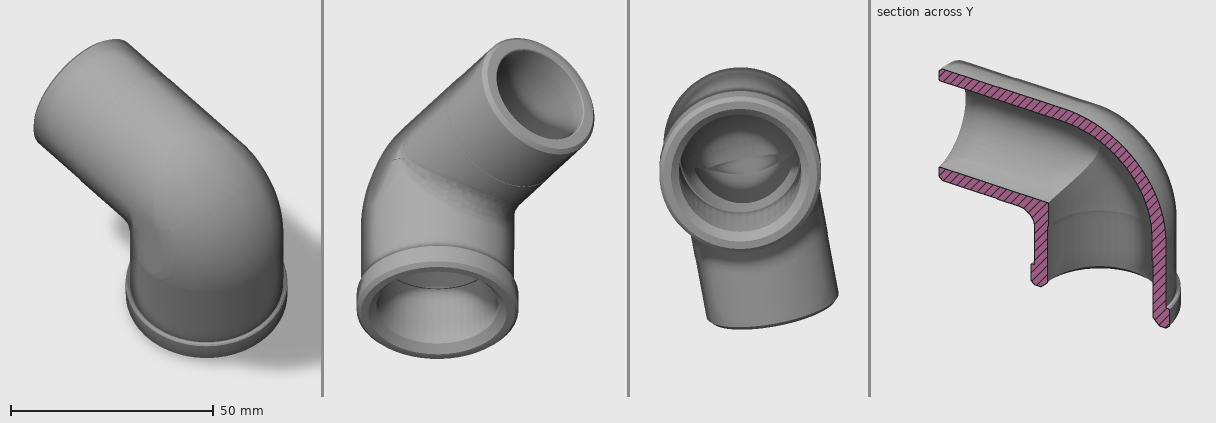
import cadquery as cq
import math

overall_length = 66.5
overall_height = 55.2
collar_diameter = 40.0
riser_x = overall_length - collar_diameter / 2

spigot_diameter = 33.25
spigot_length = 16.8
spigot_chamfer = 1.0
inlet_diameter = 33.45
inlet_radius = inlet_diameter / 2
inlet_z = overall_height - inlet_radius

riser_diameter = 38.0
collar_height = 6.1
collar_chamfer = 1.0
collar_top_chamfer = 0.3

bend_z = 25.8

cheek_angle = math.radians(9.2)
cheek_top_y = inlet_radius * math.cos(cheek_angle)
cheek_top_z = inlet_z + inlet_radius * math.sin(cheek_angle)
cheek_foot_y = cheek_top_y + cheek_top_z * math.tan(cheek_angle)

throat_fillet = 4.4
cheek_fillet = 8.0

inlet_bore = 25.5
bore_chamfer = 0.25
cavity_diameter = 29.65
socket_diameter = 30.3
socket_depth = 18.6
mouth_diameter = 34.2
mouth_depth = (mouth_diameter - socket_diameter) / 2

zone_left = 36.6
zone_left_top = 34.85
zone_tip_x = 43.2
zone_tip_z = 37.25
zone_crest_x = 38.6
zone_crest_z = 52.55

tool_size = 2 * overall_length
edge_margin = 0.65


def along_x(diameter, start, end):
    """Cylinder on the inlet axis."""
    base = cq.Plane(origin=(start, 0, inlet_z), xDir=(0, 0, 1), normal=(1, 0, 0))
    return cq.Workplane(base).circle(diameter / 2).extrude(end - start)


def along_z(diameter, start, end):
    """Cylinder on the riser axis."""
    return cq.Workplane("XY", origin=(riser_x, 0, start)).circle(diameter / 2).extrude(end - start)


def cone(base, start_diameter, end_diameter, length):
    """Cone frustum standing on a base plane."""
    sketch = cq.Workplane(base).circle(start_diameter / 2)
    return sketch.workplane(offset=length).circle(end_diameter / 2).loft(ruled=True)


def behind_bend(diameter, crown_z):
    """Space behind a bend that turns a riser of the given diameter up to its crown."""
    radius = diameter / 2
    bend_radius = crown_z - bend_z - radius
    bend_x = riser_x - bend_radius
    turn = (
        cq.Workplane("YZ", origin=(bend_x, 0, bend_z))
        .moveTo(-radius, 0)
        .lineTo(radius, 0)
        .lineTo(radius, bend_radius)
        .threePointArc((0, bend_radius + radius), (-radius, bend_radius))
        .close()
        .revolve(90, (0, 0), (1, 0))
    )
    block = cq.Workplane("XY").box(tool_size, tool_size, tool_size, centered=(False, True, False))
    return block.translate((bend_x, 0, bend_z)).cut(turn)


def between_cheeks():
    """Wedge between the two cheeks, up to where they touch the inlet."""
    outline = [
        (-cheek_foot_y, 0),
        (cheek_foot_y, 0),
        (cheek_top_y, cheek_top_z),
        (-cheek_top_y, cheek_top_z),
    ]
    return cq.Workplane("YZ").polyline(outline).close().extrude(overall_length)


def rounding_zone():
    """Part of the elbow whose cheek edges are rounded."""
    outline = [
        (zone_left, 0),
        (overall_length, 0),
        (overall_length, zone_crest_z),
        (zone_crest_x, zone_crest_z),
        (zone_tip_x, zone_tip_z),
        (zone_left, zone_left_top),
    ]
    return cq.Workplane("XZ").polyline(outline).close().extrude(tool_size / 2, both=True)


def riser_with_throat():
    """Riser blended into the inlet along the closed curve where they meet."""
    riser = along_z(riser_diameter, 0, overall_height + inlet_radius)
    inlet = along_x(inlet_diameter, spigot_length, riser_x)
    throat = cq.selectors.BoxSelector(
        (spigot_length + edge_margin, -inlet_radius, 0), (riser_x, inlet_radius, tool_size)
    )
    return riser.union(inlet).edges(throat).edges("%BSPLINE").fillet(throat_fillet)


def upper_inlet():
    """Inlet above the cheeks, running on into the bend."""
    below = cq.Workplane("XY").box(tool_size, tool_size, cheek_top_z, centered=(True, True, False))
    return along_x(inlet_diameter, spigot_length, overall_length).cut(below)


def is_cheek_edge(edge):
    """Curved edge inside the rounding zone, away from the borders of the zone."""
    middle = edge.positionAt(0.5)
    on_riser_side = middle.x > zone_left + 2 * edge_margin and middle.z < zone_left_top
    on_bend_side = middle.x > zone_tip_x and middle.z < zone_crest_z - edge_margin
    above_bend_start = middle.z > bend_z + edge_margin / 10
    off_centre = abs(middle.y) > edge_margin
    curved = edge.geomType() in ("BSPLINE", "ELLIPSE")
    return curved and off_centre and above_bend_start and (on_riser_side or on_bend_side)


def rounded_cheeks(back, zone):
    """Riser and bend within the zone, with the cheek edges rounded."""
    riser = along_z(riser_diameter, 0, overall_height).intersect(between_cheeks())
    cheeks = riser.union(upper_inlet().intersect(zone)).cut(back).intersect(zone).clean()
    edges = [edge for edge in cheeks.edges().vals() if is_cheek_edge(edge)]
    return cheeks.newObject(edges).fillet(cheek_fillet)


def outer_elbow():
    back = behind_bend(riser_diameter, overall_height)
    zone = rounding_zone()
    lower = riser_with_throat().intersect(between_cheeks())
    sharp = lower.union(upper_inlet()).cut(back).clean()
    return sharp.cut(zone).union(rounded_cheeks(back, zone))


def spigot():
    return along_x(spigot_diameter, 0, spigot_length).faces("<X").chamfer(spigot_chamfer)


def collar():
    ring = along_z(collar_diameter, 0, collar_height)
    return ring.faces("<Z").chamfer(collar_chamfer).faces(">Z").chamfer(collar_top_chamfer)


def cavity():
    """Bore, bend and socket, with chamfered openings at both ends."""
    crown_z = inlet_z + inlet_bore / 2
    back = behind_bend(cavity_diameter, crown_z)
    bore = along_x(inlet_bore, 0, riser_x)
    bend = along_z(cavity_diameter, 0, crown_z).union(bore).cut(back)
    socket = along_z(socket_diameter, 0, socket_depth)
    mouth_plane = cq.Plane(origin=(riser_x, 0, 0), xDir=(1, 0, 0), normal=(0, 0, 1))
    mouth = cone(mouth_plane, mouth_diameter, socket_diameter, mouth_depth)
    lip_plane = cq.Plane(origin=(0, 0, inlet_z), xDir=(0, 0, 1), normal=(1, 0, 0))
    lip = cone(lip_plane, inlet_bore + 2 * bore_chamfer, inlet_bore, bore_chamfer)
    return bend.union(socket).union(mouth).union(lip)


result = outer_elbow().union(spigot()).union(collar()).cut(cavity())